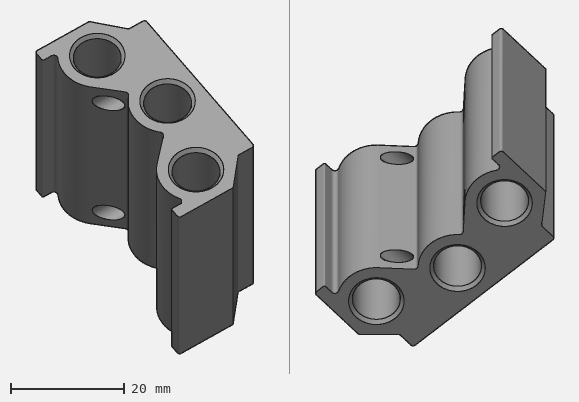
import cadquery as cq
import math

width = 44.5
depth = 20.0
height = 40.5
front_y = -depth / 2
back_y = depth / 2

back_width = 33.8
shoulder_top_y = front_y + 16.45
shoulder_bottom_y = front_y + 11.65

bore_spacing = 15.25
side_bore_y = front_y + 8.55
middle_bore_y = front_y + 13.05
bore_diameter = 8.45
bore_chamfer = 0.65
lobe_radius = 7.0

foot_width = 2.4
foot_inner_x = width / 2 - foot_width

corner_radius = 0.5
foot_inner_radius = 0.25
valley_radius = 0.7

cross_hole_diameter = 4.15
cross_hole_spacing_x = 16.0
cross_hole_spacing_z = 32.35

tangent_offset = lobe_radius / math.sqrt(2)
tangent_x = bore_spacing - tangent_offset
tangent_y = side_bore_y - tangent_offset
slope_sum = tangent_x + tangent_y - middle_bore_y
valley_x = (slope_sum + math.sqrt(2 * lobe_radius**2 - slope_sum**2)) / 2
valley_y = tangent_x + tangent_y - valley_x

foot_root_y = side_bore_y - math.sqrt(lobe_radius**2 - (foot_inner_x - bore_spacing)**2)


def make_body():
    half_width = width / 2
    half_back = back_width / 2
    lobe_bottom_y = side_bore_y - lobe_radius
    return (
        cq.Workplane("XY", origin=(0, 0, -height / 2))
        .moveTo(-half_back, back_y)
        .lineTo(half_back, back_y)
        .lineTo(half_back, shoulder_top_y)
        .lineTo(half_width, shoulder_bottom_y)
        .lineTo(half_width, front_y)
        .lineTo(foot_inner_x, front_y)
        .lineTo(foot_inner_x, foot_root_y)
        .threePointArc((bore_spacing, lobe_bottom_y), (tangent_x, tangent_y))
        .lineTo(valley_x, valley_y)
        .threePointArc((0, middle_bore_y - lobe_radius), (-valley_x, valley_y))
        .lineTo(-tangent_x, tangent_y)
        .threePointArc((-bore_spacing, lobe_bottom_y), (-foot_inner_x, foot_root_y))
        .lineTo(-foot_inner_x, front_y)
        .lineTo(-half_width, front_y)
        .lineTo(-half_width, shoulder_bottom_y)
        .lineTo(-half_back, shoulder_top_y)
        .close()
        .extrude(height)
    )


def round_edges(body, x, y, radius):
    """Round the mirrored pair of vertical edges at (+x, y) and (-x, y)."""
    for edge_x in (-x, x):
        edge = cq.selectors.NearestToPointSelector((edge_x, y, 0))
        body = body.edges("|Z").edges(edge).fillet(radius)
    return body


def make_bores():
    """Through bores with a chamfered mouth at both ends."""
    radius = bore_diameter / 2
    mouth_radius = radius + bore_chamfer
    half_height = height / 2
    bore = (
        cq.Workplane("XZ")
        .moveTo(0, -half_height)
        .lineTo(mouth_radius, -half_height)
        .lineTo(radius, -half_height + bore_chamfer)
        .lineTo(radius, half_height - bore_chamfer)
        .lineTo(mouth_radius, half_height)
        .lineTo(0, half_height)
        .close()
        .revolve(360, (0, 0, 0), (0, 1, 0))
    )
    bores = bore.translate((0, middle_bore_y, 0))
    for x in (-bore_spacing, bore_spacing):
        bores = bores.add(bore.translate((x, side_bore_y, 0)))
    return bores.combine()


def make_cross_holes():
    return (
        cq.Workplane("XZ")
        .rarray(cross_hole_spacing_x, cross_hole_spacing_z, 2, 2)
        .circle(cross_hole_diameter / 2)
        .extrude(depth / 2, both=True)
    )


body = make_body()
body = round_edges(body, back_width / 2, back_y, corner_radius)
body = round_edges(body, back_width / 2, shoulder_top_y, corner_radius)
body = round_edges(body, width / 2, front_y, corner_radius)
body = round_edges(body, foot_inner_x, front_y, foot_inner_radius)
body = round_edges(body, foot_inner_x, foot_root_y, valley_radius)
body = round_edges(body, valley_x, valley_y, valley_radius)

result = body.cut(make_bores()).cut(make_cross_holes())